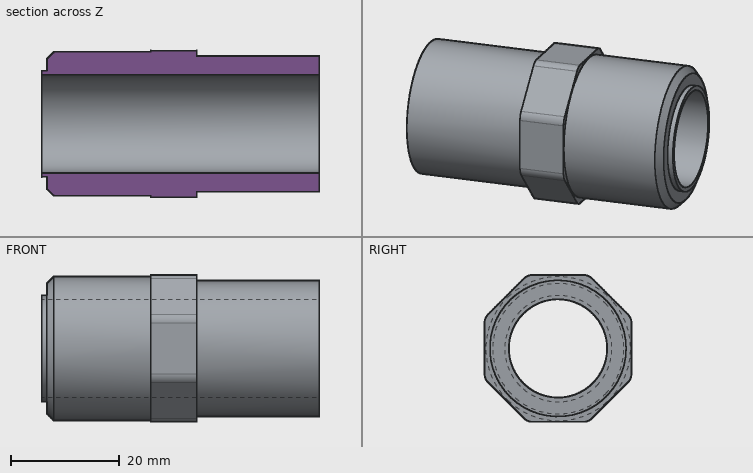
import cadquery as cq

total_length = 51.0
collar_length = 1.0
octagon_start = 20.0
octagon_width = 8.5
octagon_end = octagon_start + octagon_width

bore_diameter = 18.0
collar_diameter = 19.6
body_diameter = 26.5
spigot_diameter = 25.0
chamfer_size = 1.25

octagon_side_angle = 45.0
octagon_across_flats = 27.0
octagon_corner_radius = 2.2


def cylinder(diameter, start, end):
    """Solid cylinder on the X axis between two X positions."""
    return cq.Workplane("YZ", origin=(start, 0, 0)).circle(diameter / 2).extrude(end - start)


def chamfered_body():
    """Large cylinder with its collar-side rim chamfered."""
    body = cylinder(body_diameter, collar_length, octagon_start)
    return body.faces("<X").edges().chamfer(chamfer_size)


def wrench_octagon():
    """Octagonal prism with flats facing Y and Z and rounded corners."""
    square = (
        cq.Workplane("YZ", origin=(octagon_start, 0, 0))
        .rect(octagon_across_flats, octagon_across_flats)
        .extrude(octagon_width)
    )
    turned_square = square.rotate((0, 0, 0), (1, 0, 0), octagon_side_angle)
    octagon = square.intersect(turned_square)
    return octagon.edges("|X").fillet(octagon_corner_radius)


collar = cylinder(collar_diameter, 0, octagon_start)
spigot = cylinder(spigot_diameter, octagon_end, total_length)
bore = cylinder(bore_diameter, 0, total_length)

result = collar.union(chamfered_body()).union(wrench_octagon()).union(spigot).cut(bore)